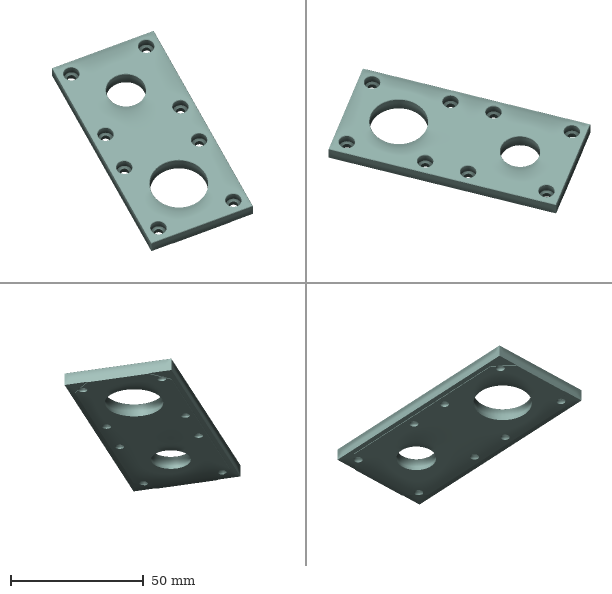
import cadquery as cq

length = 90.0
width = 42.0
plate_thickness = 5.0
edge_chamfer = 0.2

pad_height = 0.2
pad_width = 38.0
pad_corner_chamfer = 7.0

pattern_offset = 24.0
bolt_spacing = 31.0
small_bore_diameter = 15.0
large_bore_diameter = 22.0
bore_chamfer = 0.2

screw_diameter = 3.4
counterbore_diameter = 6.0
counterbore_depth = 3.2
counterbore_chamfer = 0.2

top_z = pad_height + plate_thickness


def make_plate():
    """Rectangular plate with its top edges chamfered."""
    plate = cq.Workplane("XY").workplane(offset=pad_height).box(
        length, width, plate_thickness, centered=(True, True, False)
    )
    return plate.faces(">Z").edges().chamfer(edge_chamfer)


def make_pad():
    """Thin pad as long as the plate, with chamfered corners."""
    pad = cq.Workplane("XY").box(
        length, pad_width, pad_height, centered=(True, True, False)
    )
    return pad.edges("|Z").chamfer(pad_corner_chamfer)


def vertical_cylinder(x, y, diameter, bottom_z):
    """Cutter from bottom_z up to the top face."""
    start = cq.Workplane("XY").workplane(offset=bottom_z).center(x, y)
    return start.circle(diameter / 2).extrude(top_z - bottom_z)


def rim_chamfer(x, y, diameter, size):
    """Conical cutter that breaks the top rim of a round hole."""
    start = cq.Workplane("XY").workplane(offset=top_z - size).center(x, y)
    rim = start.circle(diameter / 2).workplane(offset=size)
    return rim.circle(diameter / 2 + size).loft(combine=True)


def cut_bore(body, x, diameter):
    """Through bore on the long centreline, with a broken top rim."""
    body = body.cut(vertical_cylinder(x, 0, diameter, 0))
    return body.cut(rim_chamfer(x, 0, diameter, bore_chamfer))


def cut_screw_hole(body, x, y):
    """Through screw hole, counterbored from the top face."""
    body = body.cut(vertical_cylinder(x, y, screw_diameter, 0))
    body = body.cut(vertical_cylinder(x, y, counterbore_diameter, top_z - counterbore_depth))
    return body.cut(rim_chamfer(x, y, counterbore_diameter, counterbore_chamfer))


body = make_plate().union(make_pad())
body = cut_bore(body, -pattern_offset, small_bore_diameter)
body = cut_bore(body, pattern_offset, large_bore_diameter)

for center_x in (-pattern_offset, pattern_offset):
    for side_x in (-1, 1):
        for side_y in (-1, 1):
            hole_x = center_x + side_x * bolt_spacing / 2
            hole_y = side_y * bolt_spacing / 2
            body = cut_screw_hole(body, hole_x, hole_y)

result = body